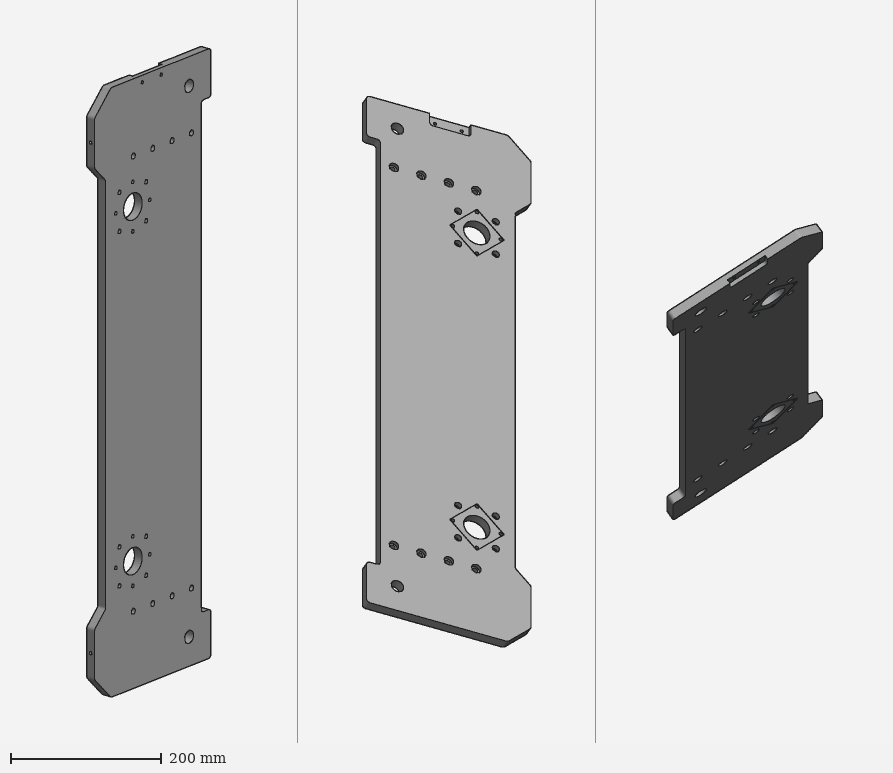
import cadquery as cq

thickness = 14.0
width = 240.0
height = 860.0
near_face = -thickness / 2
half_width = width / 2
half_height = height / 2

corner_radius = 5.0
chamfer_corner_radius = 7.0
waist_back_depth = 20.0
waist_back_half = 361.0
waist_front_depth = 23.0
waist_front_half = 302.0
end_chamfer = 34.0

end_hole_diameter = 18.0
end_hole_y = 75.0
end_hole_z = 388.5

row_z = 321.0
row_first_y = 80.0
row_pitch = 40.0
row_count = 4
row_hole_diameter = 8.0
row_bore_diameter = 13.5
row_bore_depth = 5.0

seat_y = -41.0
seat_z = 250.0
seat_bore_diameter = 38.15
seat_side = 56.0
seat_turn = 45.0
seat_corner_radius = 1.0
seat_depth = 0.5
seat_tap_diameter = 5.0
seat_tap_radius = 35.0
seat_screw_pitch = 55.0
seat_screw_diameter = 6.0
seat_screw_bore_diameter = 10.1
seat_screw_bore_depth = 7.0

recess_y = -2.0
recess_width = 60.0
recess_height = 20.0
recess_depth = 6.0
recess_corner_radius = 5.0
recess_hole_diameter = 4.23
recess_hole_pitch = 39.0
recess_hole_drop = 10.0

edge_hole_diameter = 4.23
edge_hole_depth = 15.0
edge_hole_z = 360.0


def cylinder(y, z, diameter, depth):
    """Cylinder sunk from the -X face to the given depth."""
    start = cq.Vector(near_face, y, z)
    return cq.Workplane(cq.Solid.makeCylinder(diameter / 2, depth, start, cq.Vector(1, 0, 0)))


def counterbored_hole(y, z, diameter, bore_diameter, bore_depth):
    return cylinder(y, z, diameter, thickness).union(cylinder(y, z, bore_diameter, bore_depth))


def fillet_corners(body, corners, radius):
    """Round the edges along X that pass through the given (y, z) corners and their mirror images."""
    for y, z in corners:
        for end in (-1, 1):
            body = body.edges(cq.selectors.NearestToPointSelector((0, y, end * z))).fillet(radius)
    return body


def plate():
    back_corners = [
        (half_width - waist_back_depth, waist_back_half),
        (half_width, waist_back_half),
        (half_width, half_height),
    ]
    chamfer_corners = [
        (end_chamfer - half_width, half_height),
        (-half_width, half_height - end_chamfer),
        (-half_width, waist_front_half + waist_front_depth),
    ]
    waist_corners = [(waist_front_depth - half_width, waist_front_half)]
    upper_half = back_corners + chamfer_corners + waist_corners
    lower_half = [(y, -z) for y, z in reversed(upper_half)]
    outline = cq.Workplane("YZ", origin=(near_face, 0, 0)).polyline(upper_half + lower_half).close()
    body = outline.extrude(thickness)
    body = fillet_corners(body, back_corners + waist_corners, corner_radius)
    return fillet_corners(body, chamfer_corners, chamfer_corner_radius)


def hole_row(z):
    row = cq.Workplane()
    for index in range(row_count):
        y = row_first_y - index * row_pitch
        row = row.add(counterbored_hole(y, z, row_hole_diameter, row_bore_diameter, row_bore_depth))
    return row.combine()


def bearing_seat(z):
    cut = (
        cq.Workplane("YZ", origin=(near_face, seat_y, z))
        .transformed(rotate=(0, 0, seat_turn))
        .rect(seat_side, seat_side)
        .extrude(seat_depth)
        .edges("|X")
        .fillet(seat_corner_radius)
        .union(cylinder(seat_y, z, seat_bore_diameter, thickness))
    )
    for side in (-1, 1):
        cut = cut.union(cylinder(seat_y + side * seat_tap_radius, z, seat_tap_diameter, thickness))
        cut = cut.union(cylinder(seat_y, z + side * seat_tap_radius, seat_tap_diameter, thickness))
        for end in (-1, 1):
            screw_y = seat_y + side * seat_screw_pitch / 2
            screw_z = z + end * seat_screw_pitch / 2
            cut = cut.union(
                counterbored_hole(
                    screw_y, screw_z, seat_screw_diameter, seat_screw_bore_diameter, seat_screw_bore_depth
                )
            )
    return cut


def top_recess():
    cut = (
        cq.Workplane("YZ", origin=(near_face, recess_y, half_height - recess_height / 2))
        .rect(recess_width, recess_height)
        .extrude(recess_depth)
        .edges("|X and <Z")
        .fillet(recess_corner_radius)
    )
    for side in (-1, 1):
        hole_y = recess_y + side * recess_hole_pitch / 2
        cut = cut.union(cylinder(hole_y, half_height - recess_hole_drop, recess_hole_diameter, thickness))
    return cut


def edge_hole(z):
    start = cq.Vector(0, -half_width, z)
    return cq.Workplane(
        cq.Solid.makeCylinder(edge_hole_diameter / 2, edge_hole_depth, start, cq.Vector(0, 1, 0))
    )


result = plate().cut(top_recess())
for end in (-1, 1):
    result = result.cut(cylinder(end_hole_y, end * end_hole_z, end_hole_diameter, thickness))
    result = result.cut(hole_row(end * row_z))
    result = result.cut(bearing_seat(end * seat_z))
    result = result.cut(edge_hole(end * edge_hole_z))